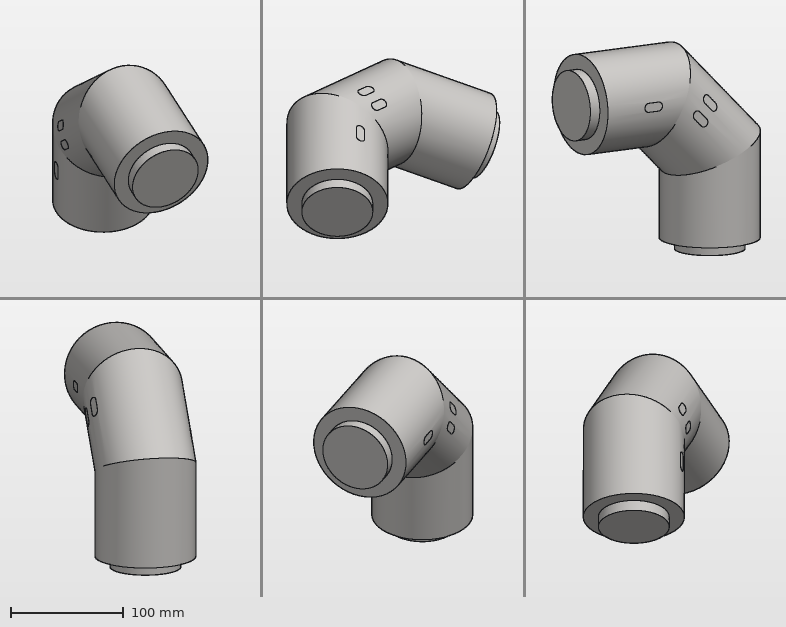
import cadquery as cq
import math

overall = 191.0
body_diameter = 90.0
spigot_diameter = 63.0
spigot_length = 10.0
leg_length = 100.0
bend_angle = 45.0

pad_length = 18.3
pad_width = 8.2
pad_height = 0.11
leg_pad_setback = 33.2
pad_spacing = 17.5
front_pair_setback = 20.6
back_pair_setback = 23.0
front_outer_offset = 11.7
front_pair_offsets = (front_outer_offset, front_outer_offset - pad_spacing)
back_pair_offsets = (pad_spacing, 0.0)

body_radius = body_diameter / 2
axis_x = body_radius
axis_z = overall - body_radius
shoulder_z = spigot_length
shoulder_x = overall - spigot_length
mitre_rise = body_radius * math.tan(math.radians(bend_angle / 2))
lower_mitre = cq.Vector(axis_x, 0, shoulder_z + leg_length - mitre_rise)
upper_mitre = cq.Vector(shoulder_x - leg_length + mitre_rise, 0, axis_z)
bottom_end = cq.Vector(axis_x, 0, 0)
right_end = cq.Vector(overall, 0, axis_z)

up = cq.Vector(0, 0, 1)
right = cq.Vector(1, 0, 0)
FRONT = -1
BACK = 1
along_middle = (upper_mitre - lower_mitre).normalized()
outward_middle = cq.Vector(-along_middle.z, 0, along_middle.x)


def make_body():
    """Mitred round bar following the three straight axes."""
    path = (
        cq.Workplane("XZ")
        .moveTo(axis_x, shoulder_z)
        .lineTo(lower_mitre.x, lower_mitre.z)
        .lineTo(upper_mitre.x, upper_mitre.z)
        .lineTo(shoulder_x, axis_z)
    )
    section = cq.Workplane("XY", origin=(axis_x, 0, shoulder_z)).circle(body_radius)
    return section.sweep(path, transition="right")


def make_spigot(end, inward):
    """Solid reduced end that also reaches into the body by its own length."""
    return cq.Workplane(
        cq.Solid.makeCylinder(spigot_diameter / 2, 2 * spigot_length, end, inward)
    )


def make_pad(axis_point, direction, side, offset=0.0):
    """Round-ended pad following the body surface, shifted sideways from the axis by offset."""
    normal = cq.Vector(0, side, 0)
    center = axis_point + outward_middle * offset
    slot = (
        cq.Workplane(cq.Plane(center, direction, normal))
        .slot2D(pad_length, pad_width)
        .extrude(body_diameter)
    )
    skin = cq.Solid.makeCylinder(
        body_radius + pad_height, 2 * pad_length, axis_point - direction * pad_length, direction
    )
    return slot.intersect(cq.Workplane(skin))


result = make_body()
result = result.union(make_spigot(bottom_end, up))
result = result.union(make_spigot(right_end, right * -1))

result = result.union(make_pad(lower_mitre - up * leg_pad_setback, up, FRONT))
result = result.union(make_pad(upper_mitre + right * leg_pad_setback, right, BACK))

front_pair_point = lower_mitre + along_middle * front_pair_setback
for offset in front_pair_offsets:
    result = result.union(make_pad(front_pair_point, along_middle, FRONT, offset))

back_pair_point = upper_mitre - along_middle * back_pair_setback
for offset in back_pair_offsets:
    result = result.union(make_pad(back_pair_point, along_middle, BACK, offset))